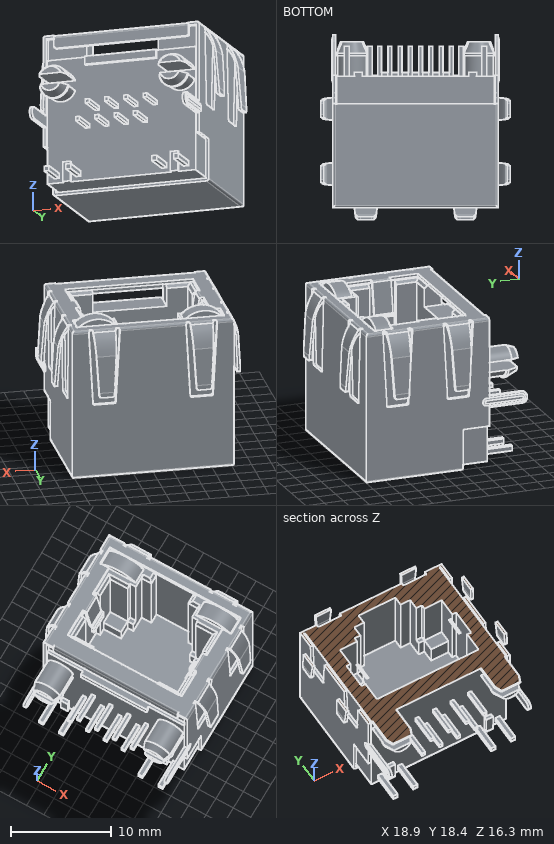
import cadquery as cq


SHIELD_W = 16.48
SHIELD_D = 13.17
SHIELD_H = 15.75
SHEET = 0.3
BEND_R = 0.25
HALF_W = SHIELD_W / 2
TOP_INNER = SHIELD_H - SHEET
NOTCH_D = 2.84
NOTCH_H = 4.33
NOTCH_R = 0.17

OPENING_HALF = 6.52
OPENING_FRONT = 1.85
LENS_OPENING_HALF = 7.5
LENS_OPENING_FRONT = 10.05
OPENING_BACK = 12.0

FLAP_W = 14.23
FLAP_BOTTOM = 14.38

BODY_HALF_W = 7.85
BODY_FRONT = 0.08
BODY_BOTTOM = 0.45
STEP_Z = 13.2
STEP_D = 0.3
PAD_H = 0.3

CAVITY_FLOOR = 3.78
CAVITY_FRONT = 2.23
PLUG_HALF = 5.9
PLUG_BACK = 9.28
NOTCH_HALF = 3.9
NOTCH_BACK = 9.75
LATCH_HALF = 3.23
LATCH_BACK = 10.92
KEY_HALF = 2.12
KEY_BACK = 11.95
CAVITY_CHAMFER = 0.32
WINDOW_HALF = 3.76
WINDOW_PAD_BOTTOM = 12.36
CORNER_BLOCK_FRONT = 7.98
CORNER_BLOCK_H = 1.89

CONTACT_Y = 5.88
CONTACT_W = 1.98
CONTACT_T = 0.23
CONTACT_FOLD_X = 6.3
CONTACT_FOLD_MID = (6.16, 15.7)
CONTACT_LEAN_TOP = (6.07, 15.61)
CONTACT_LEAN_BOTTOM = (5.54, 12.32)
CONTACT_HOOK_TOP = (5.46, 12.2)
CONTACT_HOOK = (5.25, 12.1)
CONTACT_BOTTOM = 10.96
POCKET_FRONT = 4.4
POCKET_BACK = 7.25
POCKET_HALF = 6.35

LENS_X = 5.45
LENS_HALF_W = 1.98
LENS_FRONT = 10.11
LENS_BACK = 11.75
LENS_RISE = 0.57

SIDE_FINGER_YS = (3.33, 9.8)
BACK_FINGER_X = 4.95
FINGER_REACH = 1.21
FINGER_ROOT = SHIELD_H - BEND_R
FINGER_BOW_OUTER = ((0.0, FINGER_ROOT), (0.6, 14.4), (0.95, 13.25))
FINGER_BOW_INNER = ((0.7, 13.25), (0.4, 14.4), (-SHEET, 15.29))
FINGER_KINK = 9.45
FINGER_TIP = 8.92
FINGER_TIP_R = 0.23
FINGER_TOP_HALF = 1.13
FINGER_TIP_HALF = 0.75
SLOT_TOP_HALF = 1.59
SLOT_BOTTOM_HALF = 1.15
SLOT_BOTTOM = 7.73
SLOT_R = 0.19

TAB_Z = 6.9
TAB_HALF_H = 0.6
TAB_LENGTH = 4.06
RIB_BACK = 0.7
RIB_FRONT = -3.82
RIB_RISE = 0.08
RIB_BASE_HALF = 0.4
RIB_CREST_HALF = 0.17

PEG_X = 6.31
PEG_Z = 10.34
PEG_R = 1.53
PEG_TIP_R = 1.25
PEG_LENGTH = 3.36
PEG_TAPER_START = 2.59
PEG_SLOT = 1.04
BARB_DROP = 0.19
BARB_TIP_R = 1.04
BARB_START = 1.98
BARB_TAPER_START = 2.23

PIN_LENGTH = 2.91
SIGNAL_PIN = 0.4
SIGNAL_PITCH = 1.02
SIGNAL_COUNT = 8
SIGNAL_ROW_ZS = (6.05, 7.79)
LED_PIN = 0.51
LED_PIN_Z = 1.2
LED_PAIR_X = 5.69
LED_PIN_SPACING = 2.3
LED_PAD_W = 0.8
LED_PAD_TOP = 2.48


def block(x_range, y_range, z_range):
    """Axis-aligned box from its limits."""
    (x0, x1), (y0, y1), (z0, z1) = x_range, y_range, z_range
    return cq.Workplane("XY").box(x1 - x0, y1 - y0, z1 - z0, centered=False).translate((x0, y0, z0))


def centred_block(half_w, y_range, z_range):
    return block((-half_w, half_w), y_range, z_range)


def both_sides(shape):
    """A shape together with its mirror image across X = 0."""
    return shape.union(shape.mirror("YZ"))


def make_shield():
    outer = centred_block(HALF_W, (0, SHIELD_D), (0, SHIELD_H))
    outer = outer.edges("(|Y and (>X or <X)) or (|X and >Y)").fillet(BEND_R)
    inner = centred_block(HALF_W - SHEET, (-SHEET, SHIELD_D - SHEET), (SHEET, TOP_INNER))
    notch = centred_block(SHIELD_W, (-NOTCH_D, NOTCH_D), (-NOTCH_H, NOTCH_H))
    notch = notch.edges("|X and >Y and >Z").fillet(NOTCH_R)
    top_range = (TOP_INNER, SHIELD_H)
    opening = centred_block(OPENING_HALF, (OPENING_FRONT, OPENING_BACK), top_range)
    lens_opening = centred_block(LENS_OPENING_HALF, (LENS_OPENING_FRONT, OPENING_BACK), top_range)
    shield = outer.cut(inner).cut(notch).cut(opening).cut(lens_opening)

    flap = centred_block(FLAP_W / 2, (0, SHEET), (FLAP_BOTTOM, SHIELD_H))
    flap = flap.edges("|Y and <Z").fillet(BEND_R)
    fold_waste = centred_block(FLAP_W / 2, (0, BEND_R), (SHIELD_H - BEND_R, SHIELD_H))
    fold_axis = cq.Workplane("YZ").center(BEND_R, SHIELD_H - BEND_R)
    fold = fold_axis.circle(BEND_R).extrude(FLAP_W / 2, both=True)
    return shield.union(flap).cut(fold_waste.cut(fold))


def chamfered_cut(half_w, y_range, grow_x=0.0, grow_front=0.0, grow_back=0.0):
    """Cavity prism whose chosen sides flare outward at the top of the body."""
    y0, y1 = y_range
    prism = centred_block(half_w, y_range, (CAVITY_FLOOR, TOP_INNER))
    top_w = 2 * (half_w + grow_x)
    flare = (
        cq.Workplane("XY", origin=(0, 0, TOP_INNER - CAVITY_CHAMFER))
        .center(0, (y0 + y1) / 2)
        .rect(2 * half_w, y1 - y0)
        .workplane(offset=CAVITY_CHAMFER)
        .center(0, (grow_back - grow_front) / 2)
        .rect(top_w, y1 - y0 + grow_front + grow_back)
        .loft(ruled=True)
    )
    return prism.union(flare)


def make_cavity():
    chamfer = CAVITY_CHAMFER
    plug = chamfered_cut(PLUG_HALF, (CAVITY_FRONT, PLUG_BACK), chamfer, chamfer, chamfer)
    notch = chamfered_cut(NOTCH_HALF, (CAVITY_FRONT, NOTCH_BACK))
    latch = chamfered_cut(LATCH_HALF, (CAVITY_FRONT, LATCH_BACK), grow_back=chamfer)
    key = chamfered_cut(KEY_HALF, (CAVITY_FRONT, KEY_BACK), grow_x=chamfer)
    window = centred_block(WINDOW_HALF, (-PAD_H, CAVITY_FRONT), (STEP_Z, TOP_INNER))
    pocket = centred_block(POCKET_HALF, (POCKET_FRONT, POCKET_BACK), (CAVITY_FLOOR, TOP_INNER))
    cavity = plug.union(notch).union(latch).union(key).union(window).union(pocket)

    block_z = (CAVITY_FLOOR, CAVITY_FLOOR + CORNER_BLOCK_H)
    corner = block((NOTCH_HALF, PLUG_HALF), (CORNER_BLOCK_FRONT, PLUG_BACK), block_z)
    notch_fill = block((LATCH_HALF, NOTCH_HALF), (PLUG_BACK, NOTCH_BACK), block_z)
    return cavity.cut(both_sides(corner.union(notch_fill)))


def make_body():
    body = centred_block(BODY_HALF_W, (BODY_FRONT, SHIELD_D - SHEET), (BODY_BOTTOM, TOP_INNER))
    step = centred_block(BODY_HALF_W, (BODY_FRONT, BODY_FRONT + STEP_D), (STEP_Z, TOP_INNER))
    pad_y = (-PAD_H, BODY_FRONT)
    window_pad = centred_block(WINDOW_HALF, pad_y, (WINDOW_PAD_BOTTOM, STEP_Z))
    led_pad = block(
        (LED_PAIR_X - LED_PAD_W / 2, LED_PAIR_X + LED_PAD_W / 2), pad_y, (BODY_BOTTOM, LED_PAD_TOP)
    )
    return body.cut(step).cut(make_cavity()).union(window_pad).union(both_sides(led_pad))


def make_contact():
    """Spring leaf folded from the +X edge of the opening down into the cavity."""
    lean_top_x = CONTACT_LEAN_TOP[0]
    lean_bottom_x, lean_bottom_z = CONTACT_LEAN_BOTTOM
    hook_x, hook_z = CONTACT_HOOK
    profile = (
        cq.Workplane("XZ", origin=(0, CONTACT_Y + CONTACT_W / 2, 0))
        .moveTo(OPENING_HALF, SHIELD_H)
        .lineTo(CONTACT_FOLD_X, SHIELD_H)
        .threePointArc(CONTACT_FOLD_MID, CONTACT_LEAN_TOP)
        .lineTo(lean_bottom_x, lean_bottom_z)
        .lineTo(*CONTACT_HOOK_TOP)
        .lineTo(hook_x, hook_z)
        .lineTo(hook_x, CONTACT_BOTTOM)
        .lineTo(hook_x + CONTACT_T, CONTACT_BOTTOM)
        .lineTo(hook_x + CONTACT_T, hook_z)
        .lineTo(lean_bottom_x + CONTACT_T, lean_bottom_z)
        .lineTo(lean_top_x + CONTACT_T, TOP_INNER)
        .lineTo(OPENING_HALF, TOP_INNER)
        .close()
    )
    return profile.extrude(CONTACT_W)


def make_lens():
    """Domed lens resting on the body at +X."""
    profile = (
        cq.Workplane("XZ", origin=(LENS_X, LENS_BACK, 0))
        .moveTo(-LENS_HALF_W, TOP_INNER)
        .threePointArc((0, SHIELD_H + LENS_RISE), (LENS_HALF_W, TOP_INNER))
        .close()
    )
    return profile.extrude(LENS_BACK - LENS_FRONT)


def make_finger_slot():
    """Tapered slot, round-ended beside the finger root, in a wall with outer face X = 0."""
    end_r = (SLOT_TOP_HALF - FINGER_TOP_HALF) / 2
    end_y = FINGER_TOP_HALF + end_r
    slot = (
        cq.Workplane("YZ", origin=(-SHEET, 0, 0))
        .moveTo(-SLOT_TOP_HALF, FINGER_ROOT)
        .lineTo(-SLOT_BOTTOM_HALF, SLOT_BOTTOM)
        .lineTo(SLOT_BOTTOM_HALF, SLOT_BOTTOM)
        .lineTo(SLOT_TOP_HALF, FINGER_ROOT)
        .close()
        .extrude(SHEET)
        .edges("|X and <Z")
        .fillet(SLOT_R)
    )
    ends = (
        cq.Workplane("YZ", origin=(-SHEET, 0, FINGER_ROOT))
        .pushPoints([(-end_y, 0), (end_y, 0)])
        .circle(end_r)
        .extrude(SHEET)
    )
    return slot.union(ends)


def make_finger():
    """Bowed spring finger on a wall whose outer face is X = 0, facing +X."""
    outer_start, outer_mid, outer_end = FINGER_BOW_OUTER
    inner_start, inner_mid, inner_end = FINGER_BOW_INNER
    tip_inner = FINGER_REACH - SHEET
    bow = (
        cq.Workplane("XZ")
        .moveTo(-SHEET, FINGER_ROOT)
        .lineTo(*outer_start)
        .threePointArc(outer_mid, outer_end)
        .lineTo(FINGER_REACH, FINGER_KINK)
        .lineTo(FINGER_REACH, FINGER_TIP)
        .lineTo(tip_inner, FINGER_TIP)
        .lineTo(tip_inner, FINGER_KINK)
        .lineTo(*inner_start)
        .threePointArc(inner_mid, inner_end)
        .close()
        .extrude(FINGER_TOP_HALF, both=True)
    )
    outline = (
        cq.Workplane("YZ", origin=(-SHEET, 0, 0))
        .moveTo(-FINGER_TOP_HALF, FINGER_ROOT)
        .lineTo(-FINGER_TIP_HALF, FINGER_TIP)
        .lineTo(FINGER_TIP_HALF, FINGER_TIP)
        .lineTo(FINGER_TOP_HALF, FINGER_ROOT)
        .close()
        .extrude(FINGER_REACH + SHEET)
        .edges("|X and <Z")
        .fillet(FINGER_TIP_R)
    )
    return bow.intersect(outline)


def on_walls(feature):
    """Copies of a +X-facing wall feature at every spring finger position."""
    on_side = feature.translate((HALF_W, SIDE_FINGER_YS[0], 0))
    for y in SIDE_FINGER_YS[1:]:
        on_side = on_side.union(feature.translate((HALF_W, y, 0)))
    on_back = feature.rotate((0, 0, 0), (0, 0, 1), 90).translate((BACK_FINGER_X, SHIELD_D, 0))
    return both_sides(on_side.union(on_back))


def side_oval(half_h, y_front, y_back, x):
    """Wire of a round-ended oval lying in the plane at the given X."""
    length = y_back - y_front
    plane = cq.Workplane("YZ", origin=(x, (y_front + y_back) / 2, TAB_Z))
    return plane.slot2D(length, 2 * half_h)


def make_tab():
    """Board tab of the +X wall with its raised stiffening rib."""
    tab = side_oval(TAB_HALF_H, -TAB_LENGTH, TAB_HALF_H, HALF_W - SHEET).extrude(SHEET)
    inset = RIB_BASE_HALF - RIB_CREST_HALF
    rib = (
        side_oval(RIB_BASE_HALF, RIB_FRONT, RIB_BACK, HALF_W)
        .workplane(offset=RIB_RISE)
        .slot2D(RIB_BACK - RIB_FRONT - 2 * inset, 2 * RIB_CREST_HALF)
        .loft(ruled=True)
    )
    return tab.union(rib)


def tapered_rod(z, radius, tip_radius, start, taper_start):
    """Rod along -Y at the +X peg position, ending in a cone."""
    toward_board = cq.Vector(0, -1, 0)
    shaft = cq.Solid.makeCylinder(radius, taper_start - start, cq.Vector(PEG_X, -start, z), toward_board)
    tip = cq.Solid.makeCone(
        radius, tip_radius, PEG_LENGTH - taper_start, cq.Vector(PEG_X, -taper_start, z), toward_board
    )
    return cq.Workplane(shaft).union(cq.Workplane(tip))


def make_peg():
    """Split locating peg at +X: plain upper half, barbed lower half."""
    x_range = (PEG_X - 2 * PEG_R, PEG_X + 2 * PEG_R)
    y_range = (-PEG_LENGTH, BODY_FRONT)
    upper_zone = block(x_range, y_range, (PEG_Z + PEG_SLOT / 2, PEG_Z + 2 * PEG_R))
    lower_zone = block(x_range, y_range, (PEG_Z - 2 * PEG_R, PEG_Z - PEG_SLOT / 2))
    upper = tapered_rod(PEG_Z, PEG_R, PEG_TIP_R, -BODY_FRONT, PEG_TAPER_START).intersect(upper_zone)
    root = cq.Workplane("XZ", origin=(PEG_X, BODY_FRONT, PEG_Z))
    shank = root.circle(PEG_R).extrude(BODY_FRONT + BARB_START)
    barb = tapered_rod(PEG_Z - BARB_DROP, PEG_R, BARB_TIP_R, BARB_START, BARB_TAPER_START)
    return upper.union(shank.union(barb).intersect(lower_zone))


def make_pin(x, z, size):
    half = size / 2
    return block((x - half, x + half), (-PIN_LENGTH, BODY_FRONT), (z - half, z + half))


def make_pins():
    pins = cq.Workplane("XY")
    for i in range(SIGNAL_COUNT):
        x = (i - (SIGNAL_COUNT - 1) / 2) * SIGNAL_PITCH
        pins = pins.add(make_pin(x, SIGNAL_ROW_ZS[i % 2], SIGNAL_PIN))
    for pair_x in (-LED_PAIR_X, LED_PAIR_X):
        for side in (-1, 1):
            pins = pins.add(make_pin(pair_x + side * LED_PIN_SPACING / 2, LED_PIN_Z, LED_PIN))
    return pins.combine()


shield = make_shield().cut(on_walls(make_finger_slot())).union(on_walls(make_finger()))
result = shield.union(make_body())
for feature in (make_contact(), make_lens(), make_tab(), make_peg()):
    result = result.union(both_sides(feature))
result = result.union(make_pins())